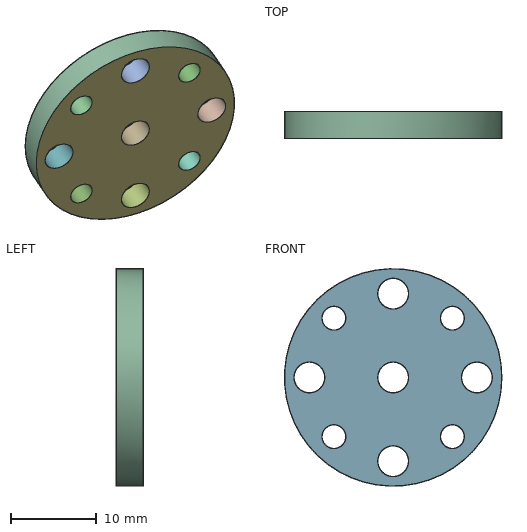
import cadquery as cq

disc_diameter = 25.4
disc_thickness = 3.17
large_hole_diameter = 3.55
small_hole_diameter = 2.75
hole_circle_radius = 9.78
holes_per_set = 4
small_hole_start_angle = 360 / holes_per_set / 2


def drill_ring(body, diameter, start_angle):
    """Cut one evenly spaced set of through holes on the hole circle."""
    return (
        body.faces("<Y")
        .workplane(origin=(0, 0, 0))
        .polarArray(hole_circle_radius, start_angle, 360, holes_per_set)
        .hole(diameter)
    )


disc = cq.Workplane("XZ").circle(disc_diameter / 2).extrude(disc_thickness)

disc = disc.faces("<Y").workplane(origin=(0, 0, 0)).hole(large_hole_diameter)

disc = drill_ring(disc, large_hole_diameter, 0)
result = drill_ring(disc, small_hole_diameter, small_hole_start_angle)